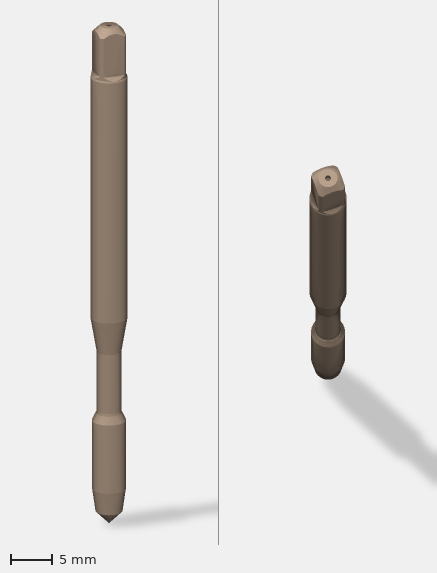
import cadquery as cq

overall_length = 64.34

shank_diameter = 4.5
drive_diameter = 4.32
drive_across_flats = 3.4
drive_length = 6.0
drive_taper_start = overall_length - 6.66
drive_taper_height = 0.2
drive_top_diameter = 2.3
center_hole_diameter = 0.7
center_hole_depth = 0.7

neck_diameter = 3.0
neck_taper_start = overall_length - 37.7
neck_taper_end = overall_length - 42.06

head_diameter = 4.1
neck_flare_start = 14.65
neck_flare_diameter = 3.12
shoulder_top = overall_length - 50.0
shoulder_height = 0.965
shoulder_top_diameter = 3.22
lead_start = 4.55
point_diameter = 3.28
point_height = point_diameter / 2

flat_depth = (shank_diameter - drive_across_flats) / 2
drive_bottom = overall_length - drive_length
shoulder_bottom = shoulder_top - shoulder_height
drive_chamfer = (drive_diameter - drive_top_diameter) / 2


def revolve_profile(points):
    """Turn a list of (radius, height) points around the Z axis."""
    return cq.Workplane("XZ").polyline(points).close().revolve(360, (0, 0, 0), (0, 1, 0))


def make_flat_cutter():
    """Material removed at one drive flat; its floor slopes down at 45 degrees."""
    inner = drive_across_flats / 2
    outer = inner + 2 * flat_depth
    return (
        cq.Workplane("XZ")
        .moveTo(inner, drive_bottom)
        .lineTo(outer, drive_bottom - 2 * flat_depth)
        .lineTo(outer, overall_length)
        .lineTo(inner, overall_length)
        .close()
        .extrude(shank_diameter, both=True)
    )


def make_shank():
    """Shank with flared neck, chamfered square drive and center hole."""
    body = revolve_profile(
        [
            (0, shoulder_top),
            (neck_flare_diameter / 2, shoulder_top),
            (neck_diameter / 2, neck_flare_start),
            (neck_diameter / 2, neck_taper_end),
            (shank_diameter / 2, neck_taper_start),
            (shank_diameter / 2, drive_taper_start),
            (drive_diameter / 2, drive_taper_start + drive_taper_height),
            (drive_diameter / 2, overall_length - drive_chamfer),
            (drive_top_diameter / 2, overall_length),
            (0, overall_length),
        ]
    )
    flat_cutter = make_flat_cutter()
    for turn in range(4):
        body = body.cut(flat_cutter.rotate((0, 0, 0), (0, 0, 1), 90 * turn))
    center_hole = (
        cq.Workplane("XY")
        .workplane(offset=overall_length - center_hole_depth)
        .circle(center_hole_diameter / 2)
        .extrude(center_hole_depth)
    )
    return body.cut(center_hole)


def make_threaded_head():
    """Threaded head with a sloped shoulder, a tapered lead and a conical point."""
    return revolve_profile(
        [
            (0, 0),
            (point_diameter / 2, point_height),
            (head_diameter / 2, lead_start),
            (head_diameter / 2, shoulder_bottom),
            (shoulder_top_diameter / 2, shoulder_top),
            (0, shoulder_top),
        ]
    )


shank = make_shank()
threaded_head = make_threaded_head()

result = cq.Compound.makeCompound([shank.val(), threaded_head.val()])